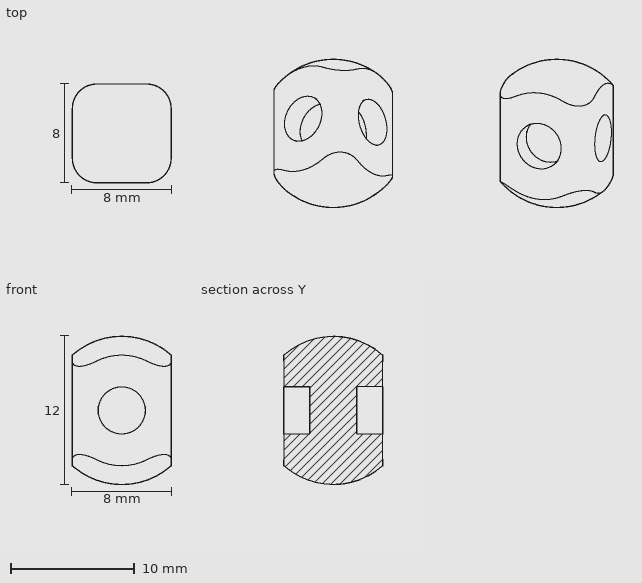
import cadquery as cq

height = 12.0
width = 8.0
corner_radius = 2.0
hole_diameter = 3.8
hole_depth = 2.09

post = cq.Workplane("XY").box(width, width, height).edges("|Z").fillet(corner_radius)
body = post.intersect(cq.Workplane("XY").sphere(height / 2))


def blind_hole(turn):
    """Flat-bottomed bore in the -Y face, turned about Z by the given angle."""
    bore = (
        cq.Workplane("XZ", origin=(0, -width / 2, 0))
        .circle(hole_diameter / 2)
        .extrude(-hole_depth)
    )
    return bore.rotate((0, 0, 0), (0, 0, 1), turn)


side_count = 4
for side in range(side_count):
    body = body.cut(blind_hole(side * 360 / side_count))

result = body